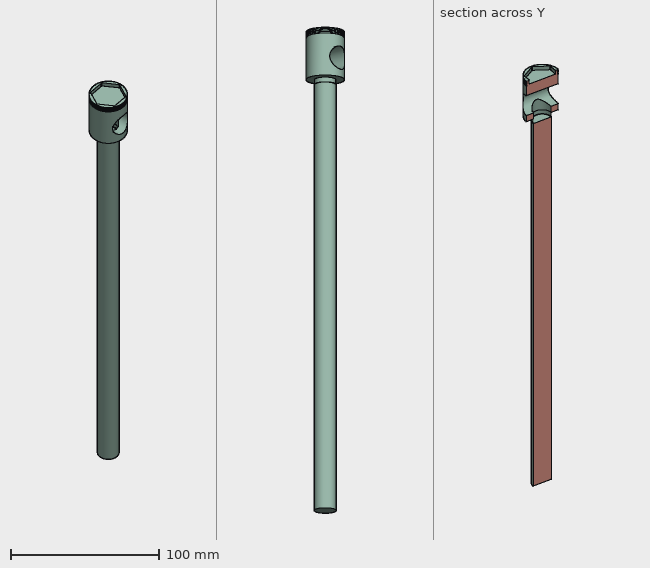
import cadquery as cq
import math

total_length = 333.5
head_diameter = 26.0
head_length = 33.5
shaft_diameter = 15.0

collar_diameter = 14.7
collar_length = 3.5

cross_hole_diameter = 16.0
cross_hole_drop = 20.0

socket_across_flats = 21.0
socket_depth = 3.0

groove_depth = 0.5
groove_width = 1.0
groove_drops = (1.0, 3.0)

bore_diameter = 14.0

head_bottom = total_length - head_length
shaft_length = head_bottom - collar_length


def cylinder(diameter, length, bottom):
    """Cylinder on the Z axis standing on the height `bottom`."""
    return cq.Workplane("XY").workplane(offset=bottom).circle(diameter / 2).extrude(length)


def cross_hole():
    """Cutter along X through the whole width of the head."""
    height = total_length - cross_hole_drop
    return (
        cq.Workplane("YZ")
        .center(0, height)
        .circle(cross_hole_diameter / 2)
        .extrude(head_diameter / 2, both=True)
    )


def hex_socket():
    """Hexagonal cutter with corners on the Y axis, sunk from the top face."""
    across_corners = socket_across_flats / math.cos(math.pi / 6)
    return (
        cq.Workplane("XY")
        .workplane(offset=total_length - socket_depth)
        .polygon(6, across_corners)
        .extrude(socket_depth)
        .rotate((0, 0, 0), (0, 0, 1), 90)
    )


def rim_groove(drop):
    """Ring cutter for a groove starting `drop` below the top face of the head."""
    bottom = total_length - drop - groove_width
    ring = cylinder(head_diameter, groove_width, bottom)
    return ring.cut(cylinder(head_diameter - 2 * groove_depth, groove_width, bottom))


def axial_bore():
    """Cutter from the axis of the cross hole down to the top of the shaft."""
    length = total_length - cross_hole_drop - shaft_length
    return cylinder(bore_diameter, length, shaft_length)


shaft = cylinder(shaft_diameter, shaft_length, 0)
collar = cylinder(collar_diameter, collar_length, shaft_length)
head = cylinder(head_diameter, head_length, head_bottom)

result = shaft.union(collar).union(head)
for cutter in (cross_hole(), hex_socket(), axial_bore()):
    result = result.cut(cutter)
for drop in groove_drops:
    result = result.cut(rim_groove(drop))